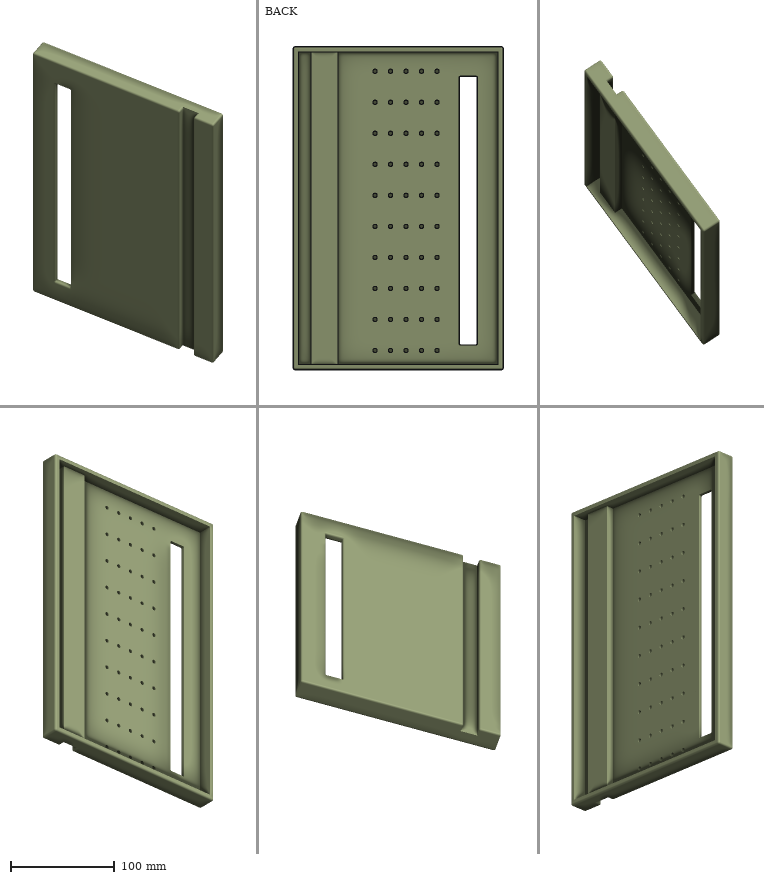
import cadquery as cq

PANEL_WIDTH = 203.15
PANEL_DEPTH = 20.0
PANEL_HEIGHT = 312.5
WALL = 5.0
EDGE_ROUND = 2.0

GROOVE_LEFT = 165.0
GROOVE_WIDTH = 16.0
GROOVE_DEPTH = 8.0

SLOT_LEFT = 25.25
SLOT_WIDTH = 17.25
SLOT_BOTTOM = 24.2
SLOT_HEIGHT = 259.5
SLOT_CORNER_RADIUS = 1.0

HOLE_DIAMETER = 4.1
HOLE_SKIN = 0.9
HOLE_COLUMNS = 5
HOLE_ROWS = 10
COLUMN_PITCH = 15.0
ROW_PITCH = 30.0
FIRST_HOLE_X = 64.0
FIRST_HOLE_Z = 18.75

SELECT_MARGIN = 0.1


def corner_box(width, depth, height, x=0, y=0, z=0):
    """Box whose lowest-coordinate corner lies at (x, y, z)."""
    return cq.Workplane("XY").box(width, depth, height, centered=False).translate((x, y, z))


def edges_inside(x, y, z, width, depth, height):
    """Selector for the edges centred in a box, including those on its sides."""
    low = (x - SELECT_MARGIN, y - SELECT_MARGIN, z - SELECT_MARGIN)
    high = (x + width + SELECT_MARGIN, y + depth + SELECT_MARGIN, z + height + SELECT_MARGIN)
    return cq.selectors.BoxSelector(low, high)


def grooved_block():
    """Solid block with the groove; every edge is rounded except those of the groove floor."""
    groove = corner_box(GROOVE_WIDTH, GROOVE_DEPTH, PANEL_HEIGHT, GROOVE_LEFT)
    block = corner_box(PANEL_WIDTH, PANEL_DEPTH, PANEL_HEIGHT).cut(groove)
    floor_edges = edges_inside(GROOVE_LEFT, GROOVE_DEPTH, 0, GROOVE_WIDTH, 0, PANEL_HEIGHT)
    return block.edges(cq.selectors.InverseSelector(floor_edges)).fillet(EDGE_ROUND)


def cut_slot(body):
    """Cut the slot and round its rim on the front face."""
    slot = corner_box(SLOT_WIDTH, PANEL_DEPTH, SLOT_HEIGHT, SLOT_LEFT, 0, SLOT_BOTTOM)
    slot = slot.edges("|Y").fillet(SLOT_CORNER_RADIUS)
    rim = edges_inside(SLOT_LEFT, 0, SLOT_BOTTOM, SLOT_WIDTH, 0, SLOT_HEIGHT)
    return body.cut(slot).edges(rim).fillet(EDGE_ROUND)


def cavity():
    """Hollow open to the back, keeping an even wall around the outside and the groove."""
    inner_height = PANEL_HEIGHT - 2 * WALL
    hollow = corner_box(PANEL_WIDTH - 2 * WALL, PANEL_DEPTH - WALL, inner_height, WALL, WALL, WALL)
    groove_casing = corner_box(
        GROOVE_WIDTH + 2 * WALL, GROOVE_DEPTH + WALL, PANEL_HEIGHT, GROOVE_LEFT - WALL
    )
    return hollow.cut(groove_casing)


def blind_holes():
    """Grid of hole cylinders from the inside of the front wall to the skin."""
    centres = [
        (FIRST_HOLE_X + column * COLUMN_PITCH, FIRST_HOLE_Z + row * ROW_PITCH)
        for column in range(HOLE_COLUMNS)
        for row in range(HOLE_ROWS)
    ]
    plane = cq.Workplane("XZ", origin=(0, HOLE_SKIN, 0))
    return plane.pushPoints(centres).circle(HOLE_DIAMETER / 2).extrude(HOLE_SKIN - WALL)


result = cut_slot(grooved_block()).cut(cavity()).cut(blind_holes())